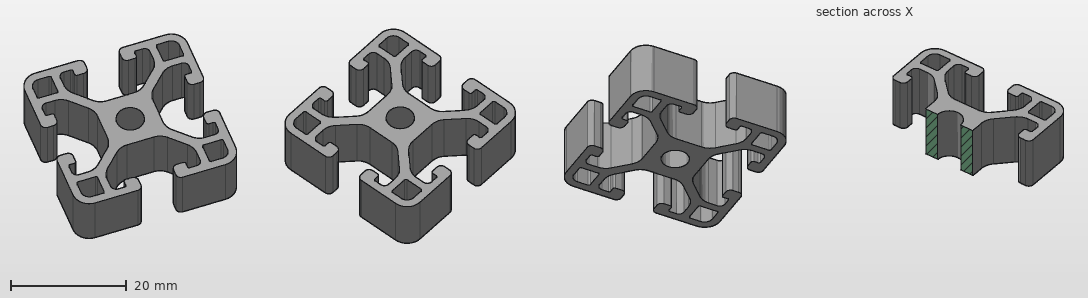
import cadquery as cq
import math

side = 30.0
length = 10.0
half_side = side / 2
corner_radius = 3.0
bore_diameter = 4.9

wall = 1.5
rib = 1.45
web = 1.85
core_half = 5.1

opening_half = 3.2
lip_width = 2.5
lip_depth = 2.97
cavity_half = 8.25
lip_radius = 0.93
lip_tip_radius = 0.35
undercut_radius = 0.3
cavity_radius = 1.0
web_radius = 3.1

chamber_radius = corner_radius - wall
chamber_fillet = 0.3

cavity_top = half_side - wall
lip_bottom = half_side - lip_depth
undercut_half = opening_half + lip_width
web_offset = web / math.sqrt(2)
floor_half = core_half - web_offset
web_top = cavity_half + web_offset


def round_edges(solid, points, radius):
    """Fillet the vertical edges that pass through the given XY points, on both sides of x = 0."""
    for x, y in points:
        for mirrored_x in (x, -x):
            edge = cq.selectors.NearestToPointSelector((mirrored_x, y, length / 2))
            solid = solid.edges("|Z").edges(edge).fillet(radius)
    return solid


def make_slot():
    """Solid filling the slot on the +Y side, up to the outer face."""
    right_half = [
        (floor_half, core_half),
        (cavity_half, web_top),
        (cavity_half, cavity_top),
        (undercut_half, cavity_top),
        (undercut_half, lip_bottom),
        (opening_half, lip_bottom),
        (opening_half, half_side),
    ]
    left_half = [(-x, y) for x, y in reversed(right_half)]
    slot = cq.Workplane("XY").polyline(right_half + left_half).close().extrude(length)
    slot = round_edges(slot, [(floor_half, core_half), (cavity_half, web_top)], web_radius)
    slot = round_edges(slot, [(cavity_half, cavity_top)], cavity_radius)
    slot = round_edges(slot, [(undercut_half, cavity_top)], undercut_radius)
    slot = round_edges(slot, [(undercut_half, lip_bottom)], lip_tip_radius)
    return round_edges(slot, [(opening_half, lip_bottom)], lip_radius)


def make_chamber():
    """Solid filling the hollow chamber in the +X +Y corner."""
    inner = cavity_half + rib
    size = cavity_top - inner
    chamber = cq.Workplane("XY").box(size, size, length, centered=False)
    chamber = chamber.translate((inner, inner, 0))
    chamber = chamber.edges("|Z").edges(">(1,1,0)").fillet(chamber_radius)
    for corner in ("<(1,1,0)", "<(1,-1,0)", ">(1,-1,0)"):
        chamber = chamber.edges("|Z").edges(corner).fillet(chamber_fillet)
    return chamber


result = cq.Workplane("XY").rect(side, side).extrude(length)
result = result.edges("|Z").fillet(corner_radius)
result = result.faces(">Z").workplane().hole(bore_diameter)

slot = make_slot()
chamber = make_chamber()
for quarter in range(4):
    angle = 90 * quarter
    result = result.cut(slot.rotate((0, 0, 0), (0, 0, 1), angle))
    result = result.cut(chamber.rotate((0, 0, 0), (0, 0, 1), angle))

for x in (-opening_half, opening_half):
    for y in (-half_side, half_side):
        for point in ((x, y, length / 2), (y, x, length / 2)):
            edge = cq.selectors.NearestToPointSelector(point)
            result = result.edges("|Z").edges(edge).fillet(lip_radius)